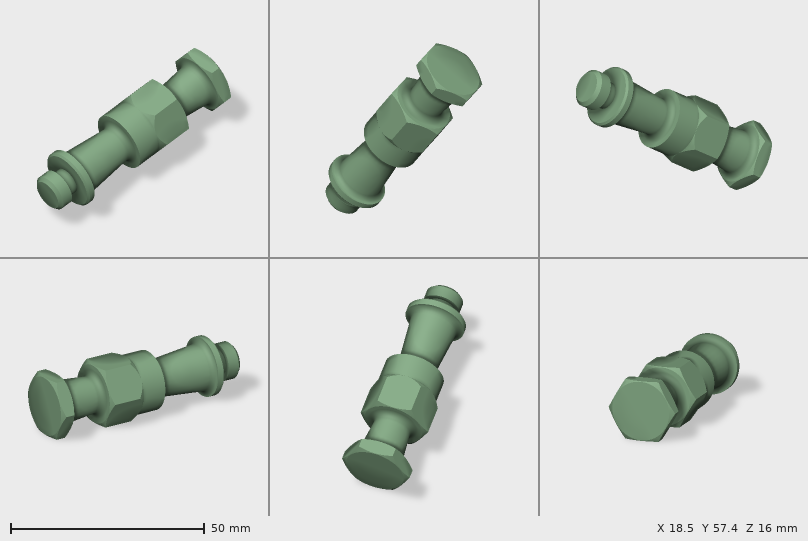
import cadquery as cq
import math

total_length = 57.4

across_flats = 16.0
corner_radius = across_flats / 2 / math.cos(math.radians(30))
collar_radius = across_flats / 2
hex_face_radius = 7.85
hex_chamfer_angle = 30.0
hex_taper_length = (corner_radius - hex_face_radius) * math.tan(math.radians(hex_chamfer_angle))

pin_head_length = 4.0
flange_front = 7.0
flange_back = 9.2
collar_front = 25.4
nut_front = 32.1
nut_back = 42.4
head_front = 53.4

pin_head_radius = 5.0
pin_neck_radius = 3.6
front_neck_wide_radius = 6.4
neck_narrow_radius = 4.8
rear_neck_wide_radius = 5.9

pin_chamfer = 0.9
flange_chamfer = 0.5
neck_fillet = 1.5
selection_margin = 0.05
nut_front_taper_length = 1.85


def turn(points):
    """Revolve a closed (radius, Y) outline about the Y axis."""
    return cq.Workplane("XY").polyline(points).close().revolve(360, (0, 0, 0), (0, 1, 0))


def shaft():
    """Pin, flange, tapered necks and round collar, with filleted neck ends."""
    body = turn([
        (0, 0),
        (pin_head_radius - pin_chamfer, 0),
        (pin_head_radius, pin_chamfer),
        (pin_head_radius, pin_head_length),
        (pin_neck_radius, pin_head_length),
        (pin_neck_radius, flange_front),
        (collar_radius - flange_chamfer, flange_front),
        (collar_radius, flange_front + flange_chamfer),
        (collar_radius, flange_back),
        (front_neck_wide_radius, flange_back),
        (neck_narrow_radius, collar_front),
        (collar_radius, collar_front),
        (collar_radius, nut_front),
        (hex_face_radius, nut_front),
        (hex_face_radius, nut_back),
        (neck_narrow_radius, nut_back),
        (rear_neck_wide_radius, head_front),
        (hex_face_radius, head_front),
        (hex_face_radius, total_length),
        (0, total_length),
    ])
    neck_ends = [
        (front_neck_wide_radius, flange_back),
        (neck_narrow_radius, collar_front),
        (neck_narrow_radius, nut_back),
        (rear_neck_wide_radius, head_front),
    ]
    for radius, y in neck_ends:
        reach = radius + selection_margin
        corner = cq.selectors.BoxSelector(
            (-reach, y - selection_margin, -reach),
            (reach, y + selection_margin, reach),
            boundingbox=True,
        )
        body = body.edges(corner).fillet(neck_fillet)
    return body


def chamfered_hexagon(front, back, front_radius, front_taper):
    """Hexagonal block with corners along X, trimmed by a cone at each end."""
    block = (
        cq.Workplane("XZ", origin=(0, back, 0))
        .polygon(6, 2 * corner_radius)
        .extrude(back - front)
    )
    envelope = turn([
        (0, front),
        (front_radius, front),
        (corner_radius, front + front_taper),
        (corner_radius, back - hex_taper_length),
        (hex_face_radius, back),
        (0, back),
    ])
    return block.intersect(envelope)


nut = chamfered_hexagon(nut_front, nut_back, collar_radius, nut_front_taper_length)
head = chamfered_hexagon(head_front, total_length, hex_face_radius, hex_taper_length)

result = shaft().union(nut).union(head)